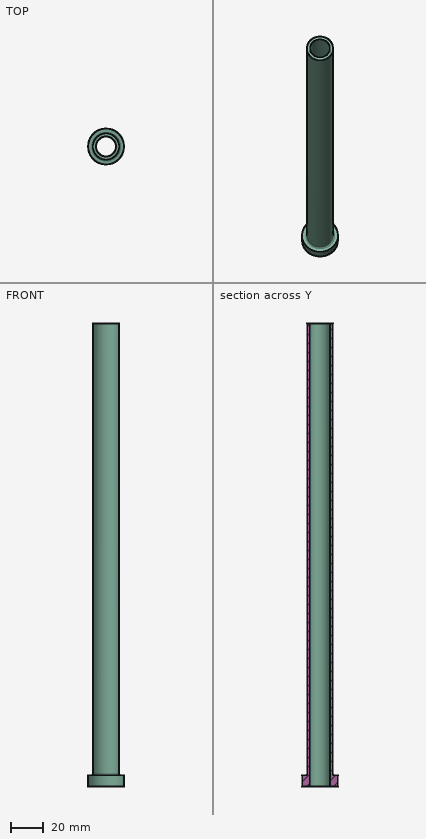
import cadquery as cq

total_length = 282.0
head_diameter = 22.0
head_height = 7.0
shaft_diameter = 16.0
bore_diameter = 12.0
neck_fillet_radius = 0.7

head_radius = head_diameter / 2
shaft_radius = shaft_diameter / 2
bore_radius = bore_diameter / 2


def make_half_section():
    """Wall outline on the -X side of the Z axis, with the neck fillet as a tangent arc."""
    return (
        cq.Workplane("XZ")
        .moveTo(-bore_radius, 0)
        .lineTo(-head_radius, 0)
        .lineTo(-head_radius, head_height)
        .lineTo(-shaft_radius - neck_fillet_radius, head_height)
        .tangentArcPoint((neck_fillet_radius, neck_fillet_radius), relative=True)
        .lineTo(-shaft_radius, total_length)
        .lineTo(-bore_radius, total_length)
        .close()
    )


def make_sleeve():
    """Head, shaft and bore swept together around the Z axis."""
    axis_start = (0, 0)
    axis_end = (0, 1)
    return make_half_section().revolve(360, axis_start, axis_end)


result = make_sleeve()